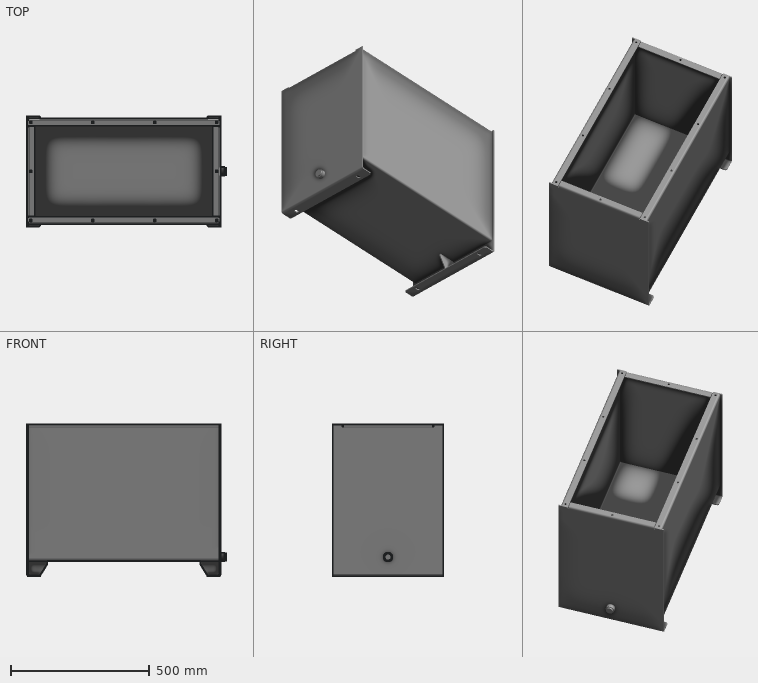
import cadquery as cq

LENGTH = 700.0
WIDTH = 400.0
HEIGHT = 550.0
SHEET = 4.0
BEND_INNER = 4.0
BEND_OUTER = BEND_INNER + SHEET
SIDE_INSET = 8.0
TANK_BOTTOM = 55.0
RIM_FLANGE = 27.5
RIM_GAP = 2.0

FOOT_DEPTH = 48.0
FOOT_CHAMFER = 5.0
FOOT_SLOT_WIDTH = 10.0
FOOT_SLOT_LENGTH = 18.0
FOOT_SLOT_FROM_END = 29.0
FOOT_SLOT_FROM_SIDE = 47.0
GUSSET_TOP_DEPTH = 74.0
GUSSET_EDGE_HEIGHT = 10.0

RIM_HOLE_DIAMETER = 8.0
RIM_HOLE_X = 336.0
RIM_HOLE_Y = 177.5
RIM_HOLES_PER_SIDE = 4

DRAIN_LENGTH = 20.0
DRAIN_HEIGHT = 70.0
DRAIN_DIAMETER = 32.0
DRAIN_BODY_LENGTH = 14.0
DRAIN_NECK_DIAMETER = 25.0
DRAIN_NECK_LENGTH = 4.5
DRAIN_LIP_DIAMETER = 27.0

HALF_LENGTH = LENGTH / 2
HALF_WIDTH = WIDTH / 2
SIDE_Y = HALF_WIDTH - SIDE_INSET
RIM_INNER_Y = SIDE_Y - RIM_FLANGE

END_OUTER_X = -HALF_LENGTH
END_INNER_X = END_OUTER_X + SHEET
END_BEND_X = END_OUTER_X + BEND_OUTER
FOOT_X = END_OUTER_X + FOOT_DEPTH
RIM_BEND_Z = HEIGHT - BEND_OUTER

CUT_MARGIN = 1.0


def box(x_range, y_range, z_range):
    """Axis-aligned block between the given coordinates."""
    sizes = [high - low for low, high in (x_range, y_range, z_range)]
    corner = (x_range[0], y_range[0], z_range[0])
    return cq.Workplane("XY").box(*sizes, centered=False).translate(corner)


def make_trough():
    """Front wall, floor and back wall folded from one sheet, with inward rim flanges."""
    inner_length = LENGTH - 2 * SHEET
    outer = box((-inner_length / 2, inner_length / 2), (-SIDE_Y, SIDE_Y), (TANK_BOTTOM, HEIGHT))
    outer = outer.edges("|X").fillet(BEND_OUTER)
    inner_y = SIDE_Y - SHEET
    inner = box(
        (-HALF_LENGTH, HALF_LENGTH),
        (-inner_y, inner_y),
        (TANK_BOTTOM + SHEET, HEIGHT - SHEET),
    )
    inner = inner.edges("|X").fillet(BEND_INNER)
    opening = box(
        (-HALF_LENGTH, HALF_LENGTH),
        (-RIM_INNER_Y, RIM_INNER_Y),
        (HEIGHT - 2 * SHEET, HEIGHT + CUT_MARGIN),
    )
    return outer.cut(inner).cut(opening)


def make_end_plate():
    """End plate at -X with its foot folded inward; its upper edge is notched for the rim flange."""
    plate = (
        cq.Workplane("XZ", origin=(0, HALF_WIDTH, 0))
        .moveTo(FOOT_X, 0)
        .lineTo(END_BEND_X, 0)
        .radiusArc((END_OUTER_X, BEND_OUTER), BEND_OUTER)
        .lineTo(END_OUTER_X, HEIGHT)
        .lineTo(END_INNER_X, HEIGHT)
        .lineTo(END_INNER_X, BEND_OUTER)
        .radiusArc((END_BEND_X, SHEET), -BEND_INNER)
        .lineTo(FOOT_X, SHEET)
        .close()
        .extrude(WIDTH)
    )
    plate = plate.faces(">X").edges("|Z").chamfer(FOOT_CHAMFER)
    notch = box(
        (END_OUTER_X - CUT_MARGIN, END_INNER_X + CUT_MARGIN),
        (-RIM_INNER_Y, RIM_INNER_Y),
        (RIM_BEND_Z, HEIGHT + CUT_MARGIN),
    )
    return plate.cut(notch)


def make_end_rim():
    """Rim flange bent inward from the end plate, between the front and back rim flanges."""
    half_width = RIM_INNER_Y - RIM_GAP
    flange_x = END_OUTER_X + RIM_FLANGE
    return (
        cq.Workplane("XZ", origin=(0, half_width, 0))
        .moveTo(END_OUTER_X, RIM_BEND_Z)
        .radiusArc((END_BEND_X, HEIGHT), BEND_OUTER)
        .lineTo(flange_x, HEIGHT)
        .lineTo(flange_x, HEIGHT - SHEET)
        .lineTo(END_BEND_X, HEIGHT - SHEET)
        .radiusArc((END_INNER_X, RIM_BEND_Z), -BEND_INNER)
        .close()
        .extrude(2 * half_width)
    )


def make_gusset():
    """Gusset at mid-width joining the foot, the end plate and the tank floor."""
    top_x = END_OUTER_X + GUSSET_TOP_DEPTH
    return (
        cq.Workplane("XZ", origin=(0, SHEET / 2, 0))
        .moveTo(END_INNER_X, BEND_OUTER)
        .lineTo(END_BEND_X, SHEET)
        .lineTo(FOOT_X, SHEET)
        .lineTo(top_x, TANK_BOTTOM - GUSSET_EDGE_HEIGHT)
        .lineTo(top_x, TANK_BOTTOM)
        .lineTo(END_INNER_X, TANK_BOTTOM)
        .close()
        .extrude(SHEET)
    )


def make_foot_slots():
    """Cutters for the two mounting slots in the foot."""
    slot_x = END_OUTER_X + FOOT_SLOT_FROM_END
    slot_y = HALF_WIDTH - FOOT_SLOT_FROM_SIDE
    return (
        cq.Workplane("XY")
        .pushPoints([(slot_x, -slot_y), (slot_x, slot_y)])
        .slot2D(FOOT_SLOT_LENGTH, FOOT_SLOT_WIDTH)
        .extrude(SHEET)
    )


def make_rim_holes():
    """Cutters for the holes around the rim."""
    pitch = 2 * RIM_HOLE_X / (RIM_HOLES_PER_SIDE - 1)
    points = [(-RIM_HOLE_X, 0), (RIM_HOLE_X, 0)]
    for index in range(RIM_HOLES_PER_SIDE):
        x = -RIM_HOLE_X + index * pitch
        points += [(x, -RIM_HOLE_Y), (x, RIM_HOLE_Y)]
    return (
        cq.Workplane("XY", origin=(0, 0, HEIGHT - SHEET))
        .pushPoints(points)
        .circle(RIM_HOLE_DIAMETER / 2)
        .extrude(SHEET)
    )


def make_drain():
    """Round connector on the +X end plate: body, narrow neck and end lip."""
    lip_length = DRAIN_LENGTH - DRAIN_BODY_LENGTH - DRAIN_NECK_LENGTH
    sections = [
        (DRAIN_DIAMETER, DRAIN_BODY_LENGTH),
        (DRAIN_NECK_DIAMETER, DRAIN_NECK_LENGTH),
        (DRAIN_LIP_DIAMETER, lip_length),
    ]
    drain = cq.Workplane("YZ")
    start_x = HALF_LENGTH
    for diameter, length in sections:
        section = cq.Workplane("YZ", origin=(start_x, 0, DRAIN_HEIGHT))
        drain = drain.add(section.circle(diameter / 2).extrude(length))
        start_x += length
    return drain.combine()


left_end = make_end_plate().union(make_end_rim()).union(make_gusset()).cut(make_foot_slots())
right_end = left_end.mirror("YZ")
tank = make_trough().union(left_end).union(right_end).cut(make_rim_holes())
result = tank.union(make_drain())